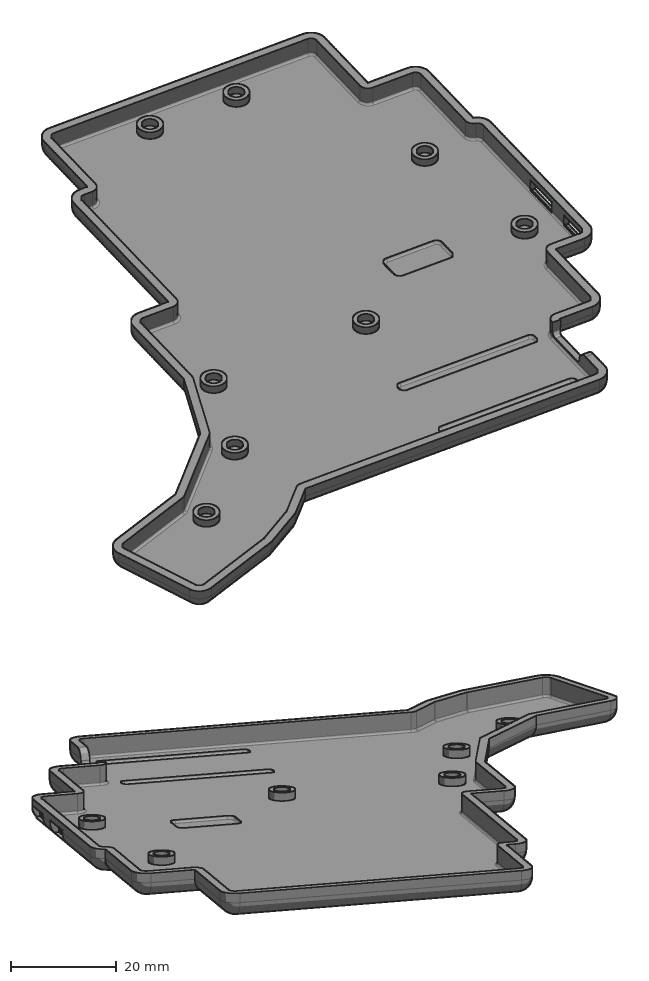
import cadquery as cq
import math

height = 4.8
floor_thickness = 1.0
wall = 1.8
edge_radius = 3.0
edge_radius_margin = 0.03
floor_fillet = 0.48

left, right = -67.9, 51.1
back, front = 63.8, -26.1
step_left, step_mid = -48.9, -11.0
back_step_left, back_step_mid, back_step_right = -29.6, 12.8, 31.4
back_left, back_left_mid, back_right_mid, back_right = 50.0, 61.7, 54.6, 44.4
front_left, front_mid = -11.8, -16.6

arm_angle = math.radians(20)
arm_width = 23.2
arm_outer_length = 21.0
inner_bends = [(10.7, front), (26.4, -31.8), (40.0, -45.4)]
outer_bends = [(61.7, -37.1), (56.5, -28.8), (right, -23.4)]

boss_diameter = 5.0
boss_hole_diameter = 3.1
boss_height = 1.6
boss_centers = [
    (-27.8, 50.0), (0.8, 54.9), (-61.5, 28.5), (-61.5, 9.5),
    (10.3, 14.3), (11.0, -19.7), (30.4, -26.6), (45.2, -41.7),
]

recess_depth = 0.5
recess_corner = 1.2
plate_recess = ((-2.3, 33.3), (6.1, 12.8))
groove_size = (2.6, 30.2)
groove_corner = 1.0
groove_centers = [(29.8, 25.0), (45.1, 25.0)]

window_height = 2.5
window_bottom = floor_thickness
window_spans = [(-9.1, -1.2), (3.3, 10.9)]
notch_left, notch_right = 31.7, 41.6
notch_bottom = 1.6
notch_bottom_fillet = 1.0
notch_top_round = height - notch_bottom - notch_bottom_fillet


def outline_points():
    """Sharp-cornered outline, counter-clockwise from the front left corner."""
    along = (math.sin(arm_angle), -math.cos(arm_angle))
    across = (-math.cos(arm_angle), -math.sin(arm_angle))
    elbow = outer_bends[0]
    tip_outer = (elbow[0] + arm_outer_length * along[0], elbow[1] + arm_outer_length * along[1])
    tip_inner = (tip_outer[0] + arm_width * across[0], tip_outer[1] + arm_width * across[1])
    return [
        (left, front_left), (step_left, front_left),
        (step_left, front_mid), (step_mid, front_mid),
        (step_mid, front),
        *inner_bends, tip_inner, tip_outer, *outer_bends,
        (right, back_right), (back_step_right, back_right),
        (back_step_right, back_right_mid), (back_step_mid, back_right_mid),
        (back_step_mid, back), (back_step_left, back),
        (back_step_left, back_left_mid), (step_left, back_left_mid),
        (step_left, back_left), (left, back_left),
    ]


def outline():
    """Outline with its outward corners rounded and its inward corners left sharp."""
    sharp = cq.Workplane("XY").polyline(outline_points()).close()
    return sharp.offset2D(-edge_radius, "intersection").offset2D(edge_radius, "arc")


def shell():
    body = outline().extrude(height).faces("<Z").edges().fillet(edge_radius - edge_radius_margin)
    cavity = outline().offset2D(-wall, "arc").extrude(height)
    cavity = cavity.faces("<Z").edges().fillet(floor_fillet)
    return body.cut(cavity.translate((0, 0, floor_thickness)))


def bosses():
    pillars = cq.Workplane("XY").workplane(offset=floor_thickness).pushPoints(boss_centers)
    return pillars.circle(boss_diameter / 2).circle(boss_hole_diameter / 2).extrude(boss_height)


def recess(center, size, corner):
    """Rounded rectangular recess, sunk into the floor with a filleted bottom edge."""
    block = cq.Workplane("XY").box(*size, height, centered=(True, True, False))
    block = block.edges("|Z").fillet(corner).faces("<Z").edges().fillet(floor_fillet)
    return block.translate((*center, floor_thickness - recess_depth))


def wall_window(span):
    """Rectangular opening through the rearmost wall."""
    start, end = span
    window = cq.Workplane("XY").box(end - start, wall, window_height, centered=False)
    return window.translate((start, back - wall, window_bottom))


def wall_notch():
    """Dip in the wall beside the right edge, with rounded bottom corners and one flared top corner."""
    profile = (
        cq.Workplane("XZ", origin=(0, back_right, 0))
        .moveTo(notch_left, height)
        .lineTo(notch_left, notch_bottom + notch_bottom_fillet)
        .radiusArc((notch_left + notch_bottom_fillet, notch_bottom), -notch_bottom_fillet)
        .lineTo(notch_right - notch_bottom_fillet, notch_bottom)
        .radiusArc((notch_right, notch_bottom + notch_bottom_fillet), -notch_bottom_fillet)
        .radiusArc((notch_right + notch_top_round, height), notch_top_round)
        .close()
    )
    return profile.extrude(wall)


result = shell().union(bosses())
result = result.cut(recess(*plate_recess, recess_corner))
for groove_center in groove_centers:
    result = result.cut(recess(groove_center, groove_size, groove_corner))
for window_span in window_spans:
    result = result.cut(wall_window(window_span))
result = result.cut(wall_notch())